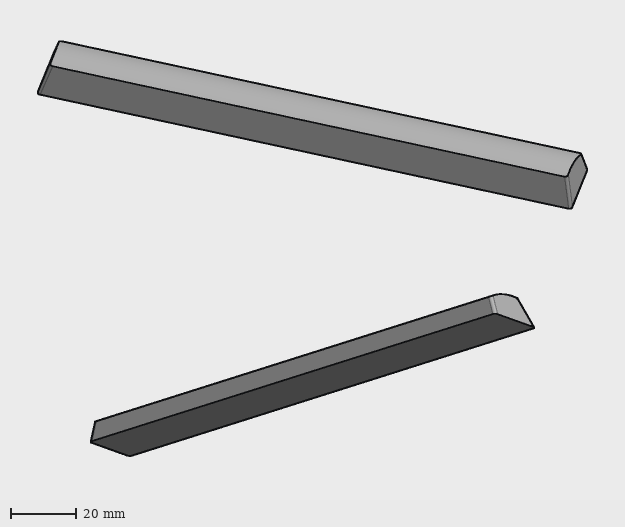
import cadquery as cq
import math

length = 170.5
depth = 18.0
height = 9.0

back_height = 6.0
front_setback = 4.6
crown_from_back = 10.7

end_setback = 2.7
corner_radius = 1.0

back_y = depth / 2
front_y = -depth / 2
half_length = length / 2

crown_rise = height - back_height
crown_radius = (crown_from_back**2 + crown_rise**2) / (2 * crown_rise)
front_edge_from_crown = depth - front_setback - crown_from_back
front_edge_height = height - crown_radius + math.sqrt(crown_radius**2 - front_edge_from_crown**2)


def crowned_bar():
    """Cross-section with an upright back, leaning front and arched top."""
    return (
        cq.Workplane("YZ")
        .moveTo(front_y, 0)
        .lineTo(back_y, 0)
        .lineTo(back_y, back_height)
        .threePointArc(
            (back_y - crown_from_back, height),
            (front_y + front_setback, front_edge_height),
        )
        .close()
        .extrude(half_length, both=True)
    )


def end_taper():
    """Trapezoid, seen along Y, that gives both end faces their lean; it reaches past the crown."""
    taper_height = 2 * height
    top_half_length = half_length - end_setback * taper_height / height
    return (
        cq.Workplane("XZ")
        .polyline([
            (-half_length, 0),
            (half_length, 0),
            (top_half_length, taper_height),
            (-top_half_length, taper_height),
        ])
        .close()
        .extrude(depth, both=True)
    )


bar = crowned_bar().intersect(end_taper())

edge_middle_min = 0.25 * back_height
edge_middle_max = 0.9 * back_height
corner_edges = bar.edges(
    cq.selectors.BoxSelector(
        (-length, -depth, edge_middle_min),
        (length, depth, edge_middle_max),
    )
)
result = corner_edges.fillet(corner_radius)